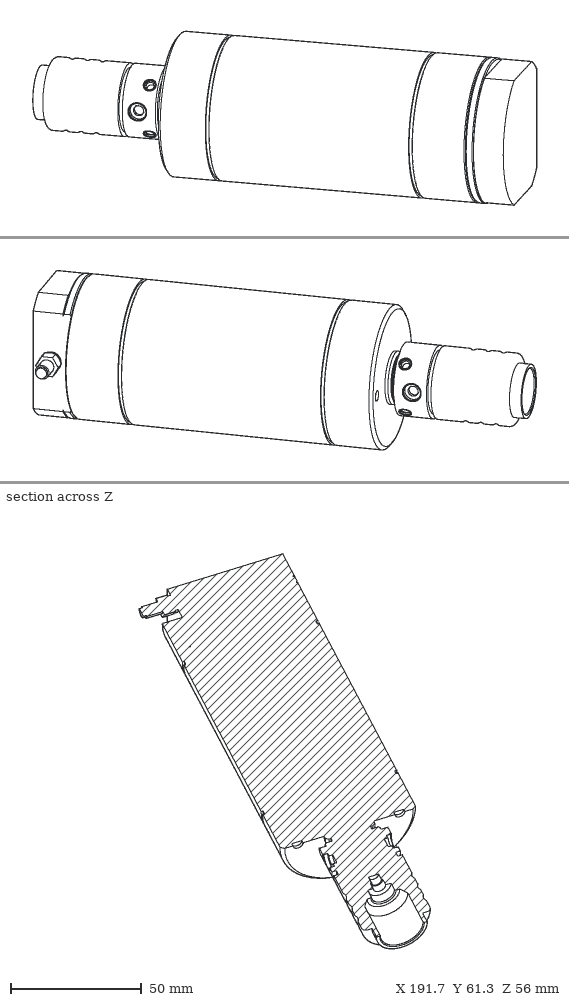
import cadquery as cq


CUT_MARGIN = 1.0

BODY_DIA = 56.0
BODY_END = 122.2
BODY_REAR_CHAMFER = 0.4
BODY_CHAMFER_DIA = 53.0
BODY_CHAMFER_LENGTH = 1.2
JOINT_POSITIONS = (19.8, 100.5)
JOINT_WIDTH = 1.4
JOINT_DEPTH = 0.8

FLANGE_END = 125.5
FLANGE_CHAMFER = 0.5
PART_END = 137.4
CAP_FLATS = 50.0
SIDE_FLAT_Y = 19.7

FACE_HOLE_DIA = 4.0
FACE_HOLE_OFFSET = 21.0
FACE_HOLE_DEPTH = 1.2

SHAFT_DIA = 16.5
SHOULDER_DIA = 20.6
SHOULDER_LENGTH = 1.2
SHOULDER_CONE_DIA = 18.0
SHOULDER_CONE_LENGTH = 0.8
COLLAR_DIA = 22.8
COLLAR_LENGTH = 1.5
COLLAR_CHAMFER = 0.6

NOSE_START = -54.3
NOSE_DIA = 21.0
HEAD_START = -49.7
HEAD_END = -4.6
HEAD_DIA = 28.4
HEAD_FILLET = 1.85
HEAD_GROOVE_START = -19.5
HEAD_GROOVE_WIDTH = 1.8
HEAD_GROOVE_DIA = 24.7
GRIP_START = -44.25
GRIP_WIDTH = 3.0
GRIP_PITCH = 2 * GRIP_WIDTH
GRIP_DEPTH = 0.55
GRIP_COUNT = 3
GRIP_EDGE_FILLET = 0.3

BORE_DIA = 17.6
BORE_CHAMFER = 0.4
BORE_DEPTH = 16.0
BORE_CONE_DIA = 13.4
BORE_CONE_LENGTH = 3.0
SEAT_MOUTH_DIA = 10.4
SEAT_DIA = 9.4
SEAT_CONE_LENGTH = 0.5
SEAT_DEPTH = 4.0
CENTRE_HOLE_DIA = 5.0
CENTRE_HOLE_DEPTH = 3.0
CENTRE_TIP_DIA = 4.0
CENTRE_TIP_DEPTH = 3.0

PORT_X = -11.8
PORT_ANGLES = (0, 180)
PORT_STEPS = ((7.4, 0.5), (6.65, 2.0), (4.0, 3.5))
SCREW_X = -8.0
SCREW_ANGLES = (45, 135, 225, 315)
SCREW_STEPS = ((5.0, 0.4), (4.3, 1.0), (3.2, 3.0))

FITTING_X = 130.2
FITTING_SEAT_DIA = 8.0
FITTING_SEAT_TOP = 20.7
FITTING_HEX_CORNERS = 9.0
FITTING_HEX_TOP = 25.5
FITTING_TUBE_DIA = 5.5
FITTING_TUBE_TOP = 32.0
FITTING_TIP_DIA = 4.3
FITTING_TIP_TOP = 33.3


def cylinder(diameter, start, end):
    return cq.Workplane("YZ", origin=(start, 0, 0)).circle(diameter / 2).extrude(end - start)


def cone(start_diameter, end_diameter, start, end):
    outline = [(start, 0), (start, start_diameter / 2), (end, end_diameter / 2), (end, 0)]
    return cq.Workplane("XY").polyline(outline).close().revolve(360, (0, 0, 0), (1, 0, 0))


def ring(outer_diameter, inner_diameter, start, end):
    return cylinder(outer_diameter, start, end).cut(cylinder(inner_diameter, start, end))


def make_body():
    body = cone(BODY_CHAMFER_DIA, BODY_DIA, 0, BODY_CHAMFER_LENGTH)
    body = body.union(cylinder(BODY_DIA, BODY_CHAMFER_LENGTH, BODY_END))
    body = body.faces(">X").edges().chamfer(BODY_REAR_CHAMFER)
    for joint in JOINT_POSITIONS:
        start = joint - JOINT_WIDTH / 2
        body = body.cut(ring(BODY_DIA + CUT_MARGIN, BODY_DIA - 2 * JOINT_DEPTH, start, start + JOINT_WIDTH))
    holes = (
        cq.Workplane("YZ")
        .pushPoints([(FACE_HOLE_OFFSET, 0), (-FACE_HOLE_OFFSET, 0)])
        .circle(FACE_HOLE_DIA / 2)
        .extrude(FACE_HOLE_DEPTH)
    )
    return body.cut(holes)


def make_rear():
    flange = cylinder(BODY_DIA, BODY_END, FLANGE_END).edges().chamfer(FLANGE_CHAMFER)
    cap_length = PART_END - FLANGE_END
    flats = cq.Workplane("XY").box(cap_length, 2 * BODY_DIA, CAP_FLATS)
    flats = flats.translate((FLANGE_END + cap_length / 2, 0, 0))
    rear = flange.union(cylinder(BODY_DIA, FLANGE_END, PART_END).intersect(flats))
    side_cut = cq.Workplane("XY").box(
        PART_END - BODY_END, BODY_DIA, 2 * BODY_DIA, centered=(False, False, True)
    )
    return rear.cut(side_cut.translate((BODY_END, SIDE_FLAT_Y, 0)))


def make_fitting():
    def base(height):
        return cq.Workplane("XZ", origin=(FITTING_X, height, 0))

    seat = base(SIDE_FLAT_Y).circle(FITTING_SEAT_DIA / 2).extrude(SIDE_FLAT_Y - FITTING_SEAT_TOP)
    nut = base(FITTING_SEAT_TOP).polygon(6, FITTING_HEX_CORNERS).extrude(FITTING_SEAT_TOP - FITTING_HEX_TOP)
    tube = base(FITTING_HEX_TOP).circle(FITTING_TUBE_DIA / 2).extrude(FITTING_HEX_TOP - FITTING_TUBE_TOP)
    tip = base(FITTING_TUBE_TOP).circle(FITTING_TIP_DIA / 2).extrude(FITTING_TUBE_TOP - FITTING_TIP_TOP)
    return seat.union(nut).union(tube).union(tip)


def make_shaft():
    shaft = cylinder(SHAFT_DIA, HEAD_END, 0)
    shaft = shaft.union(cylinder(SHOULDER_DIA, -SHOULDER_LENGTH, 0))
    cone_start = -SHOULDER_LENGTH - SHOULDER_CONE_LENGTH
    shaft = shaft.union(cone(SHOULDER_CONE_DIA, SHOULDER_DIA, cone_start, -SHOULDER_LENGTH))
    collar = cylinder(COLLAR_DIA, HEAD_END, HEAD_END + COLLAR_LENGTH).faces(">X").chamfer(COLLAR_CHAMFER)
    return shaft.union(collar)


def grip_groove(start):
    """Ring whose inner side is a circular arc; it cuts a shallow concave groove."""
    radius = HEAD_DIA / 2
    end = start + GRIP_WIDTH
    middle = (start + end) / 2
    section = (
        cq.Workplane("XY")
        .moveTo(start, radius)
        .threePointArc((middle, radius - GRIP_DEPTH), (end, radius))
        .lineTo(end, radius + CUT_MARGIN)
        .lineTo(start, radius + CUT_MARGIN)
        .close()
    )
    return section.revolve(360, (0, 0, 0), (1, 0, 0))


def rim_selector(x):
    """Select the circular edges that lie in the plane at the given X."""
    reach = HEAD_DIA
    margin = GRIP_EDGE_FILLET / 4
    return cq.selectors.BoxSelector((x - margin, -reach, -reach), (x + margin, reach, reach), boundingbox=True)


def make_head():
    head = cylinder(HEAD_DIA, HEAD_START, HEAD_END).faces("<X").edges().fillet(HEAD_FILLET)
    groove_end = HEAD_GROOVE_START + HEAD_GROOVE_WIDTH
    head = head.cut(ring(HEAD_DIA + CUT_MARGIN, HEAD_GROOVE_DIA, HEAD_GROOVE_START, groove_end))
    for index in range(GRIP_COUNT):
        start = GRIP_START + index * GRIP_PITCH
        head = head.cut(grip_groove(start))
        for rim in (start, start + GRIP_WIDTH):
            head = head.edges(rim_selector(rim)).fillet(GRIP_EDGE_FILLET)
    return head.union(cylinder(NOSE_DIA, NOSE_START, HEAD_START))


def make_bore():
    bore_end = NOSE_START + BORE_DEPTH
    cone_end = bore_end + BORE_CONE_LENGTH
    seat_end = cone_end + SEAT_DEPTH
    hole_end = seat_end + CENTRE_HOLE_DEPTH
    bore = cylinder(BORE_DIA, NOSE_START, bore_end)
    bore = bore.union(cone(BORE_DIA + 2 * BORE_CHAMFER, BORE_DIA, NOSE_START, NOSE_START + BORE_CHAMFER))
    bore = bore.union(cone(BORE_DIA, BORE_CONE_DIA, bore_end, cone_end))
    bore = bore.union(cylinder(SEAT_DIA, cone_end, seat_end))
    bore = bore.union(cone(SEAT_MOUTH_DIA, SEAT_DIA, cone_end, cone_end + SEAT_CONE_LENGTH))
    bore = bore.union(cylinder(CENTRE_HOLE_DIA, seat_end, hole_end))
    return bore.union(cylinder(CENTRE_TIP_DIA, hole_end, hole_end + CENTRE_TIP_DEPTH))


def radial_hole(x, angle, steps):
    """Stepped hole running inward from the head surface, turned about X from +Y."""
    plane = cq.Workplane("XZ", origin=(x, HEAD_DIA / 2 + CUT_MARGIN, 0))
    hole = cq.Workplane("XY")
    for diameter, depth in steps:
        hole = hole.union(plane.circle(diameter / 2).extrude(depth + CUT_MARGIN))
    return hole.rotate((0, 0, 0), (1, 0, 0), angle)


result = make_body().union(make_rear()).union(make_fitting()).union(make_shaft()).union(make_head())
result = result.cut(make_bore())
for port_angle in PORT_ANGLES:
    result = result.cut(radial_hole(PORT_X, port_angle, PORT_STEPS))
for screw_angle in SCREW_ANGLES:
    result = result.cut(radial_hole(SCREW_X, screw_angle, SCREW_STEPS))